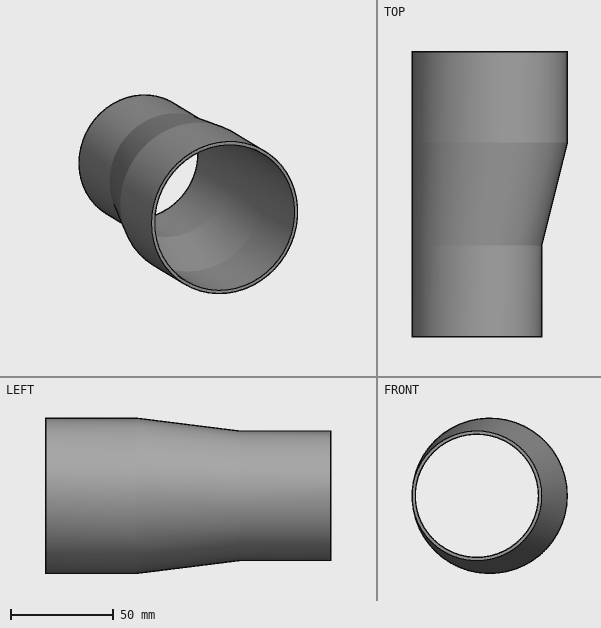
import cadquery as cq

total_length = 139.7
end_length = 44.7
large_diameter = 76.1
small_diameter = 63.5
wall = 1.7

taper_length = total_length - 2 * end_length
axis_offset = (large_diameter - small_diameter) / 2


def reducer_body(inset):
    """Solid reducer with every radius reduced by the inset."""
    large_radius = large_diameter / 2 - inset
    small_radius = small_diameter / 2 - inset

    large_end = cq.Workplane("XZ").circle(large_radius).extrude(end_length)
    taper = (
        cq.Workplane("XZ")
        .workplane(offset=end_length)
        .circle(large_radius)
        .workplane(offset=taper_length)
        .center(-axis_offset, 0)
        .circle(small_radius)
        .loft(ruled=True)
    )
    small_end = (
        cq.Workplane("XZ")
        .workplane(offset=end_length + taper_length)
        .center(-axis_offset, 0)
        .circle(small_radius)
        .extrude(end_length)
    )
    return large_end.union(taper).union(small_end)


result = reducer_body(0).cut(reducer_body(wall))